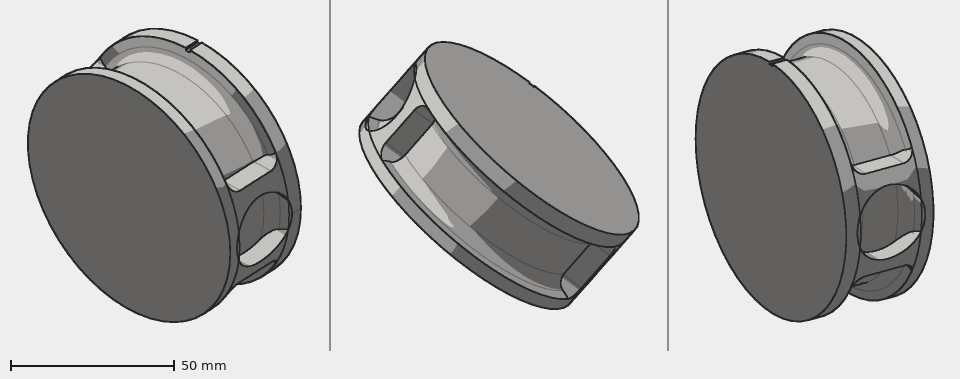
import cadquery as cq
import math

outer_radius = 42.3
width = 32.0

sleeve_thickness = 0.1
spool_radius = outer_radius - sleeve_thickness

groove_center_y = -0.5
floor_radius = 35.9
floor_half_width = 6.5
opening_half_width = 11.2
fillet_radius = 4.1
wall_angle = math.radians(12.5)

window_start_z = 17.35
window_corner_radius = 4.2

bridge_hole_radius = 12.4

notch_width = 1.7
notch_depth = 0.85


def make_disc(radius):
    return cq.Workplane("XZ", origin=(0, width / 2, 0)).circle(radius).extrude(width)


def make_groove_ring():
    """Solid of revolution that fills the groove up to the spool radius."""
    fillet_center_r = floor_radius + fillet_radius

    def fillet_point(angle, side):
        half_width = floor_half_width + fillet_radius * math.cos(angle)
        radius = fillet_center_r - fillet_radius * math.sin(angle)
        return radius, groove_center_y + side * half_width

    middle_angle = (wall_angle + math.pi / 2) / 2
    return (
        cq.Workplane("XY")
        .moveTo(spool_radius, groove_center_y - opening_half_width)
        .lineTo(*fillet_point(wall_angle, -1))
        .threePointArc(fillet_point(middle_angle, -1), fillet_point(math.pi / 2, -1))
        .lineTo(*fillet_point(math.pi / 2, 1))
        .threePointArc(fillet_point(middle_angle, 1), fillet_point(wall_angle, 1))
        .lineTo(spool_radius, groove_center_y + opening_half_width)
        .close()
        .revolve(360, (0, 0, 0), (0, 1, 0))
    )


def make_window(side):
    """Rounded block that clears the groove above (side 1) or below (side -1) the bridges."""
    height = outer_radius
    center_z = side * (window_start_z + height / 2)
    return (
        cq.Workplane("XY")
        .box(2 * outer_radius, 2 * opening_half_width, height)
        .edges("|X")
        .fillet(window_corner_radius)
        .translate((0, groove_center_y, center_z))
    )


def make_notch():
    """Cutter for the notch, from the back face to the groove."""
    length = width / 2 - groove_center_y - floor_half_width
    center_y = width / 2 - length / 2
    return cq.Workplane("XY").box(notch_width, length, 2 * notch_depth).translate((0, center_y, outer_radius))


def make_grooved_disc():
    return make_disc(spool_radius).cut(make_groove_ring())


def make_spool():
    return make_grooved_disc().cut(make_notch())


def make_sleeve():
    sleeve = make_disc(outer_radius).cut(make_grooved_disc())
    for side in (-1, 1):
        sleeve = sleeve.cut(make_window(side))
    bridge_hole = (
        cq.Workplane("YZ", origin=(-outer_radius, groove_center_y, 0))
        .circle(bridge_hole_radius)
        .extrude(2 * outer_radius)
    )
    return sleeve.cut(bridge_hole).cut(make_notch())


spool = make_spool()
sleeve = make_sleeve()

result = cq.Compound.makeCompound([spool.val(), sleeve.val()])